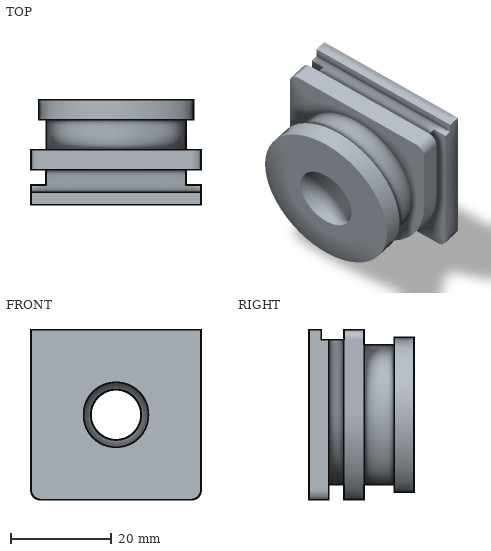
import cadquery as cq

width = 34.0
half_width = width / 2
corner_radius = 2.0

slab_thickness = 4.0
lip_thickness = 2.5
front_neck_length = 3.0
rear_neck_length = 6.0

plate_back = slab_thickness
flange_front = plate_back + front_neck_length
flange_back = flange_front + slab_thickness
cap_front = flange_back + rear_neck_length
cap_back = cap_front + slab_thickness

neck_radius = 14.0
cap_radius = 15.5
mouth_radius = 6.5
throat_radius = 5.0
chamber_radius = mouth_radius

mouth_depth = 4.5
throat_start = 5.27
throat_end = 5.85

ledge_drop = 2.0
ledge_z = half_width - ledge_drop


def plane_at(y):
    """Sketch plane facing -Y at station y, with local x = X and local y = Z."""
    return cq.Workplane("XZ", origin=(0, y, 0))


def arch(half, top, front, back):
    """Flat sides and flat top above a half-round bottom, between two stations."""
    return (
        plane_at(front)
        .moveTo(-half, top)
        .lineTo(-half, 0)
        .threePointArc((0, -half), (half, 0))
        .lineTo(half, top)
        .close()
        .extrude(front - back)
    )


def disc(radius, front, back):
    """Round slab about the bore axis, between two stations."""
    return plane_at(front).circle(radius).extrude(front - back)


def front_plate():
    """Square plate with rounded bottom corners and a ledge behind its top lip."""
    plate = plane_at(0).rect(width, width).extrude(-plate_back)
    plate = plate.edges("|Y and <Z").fillet(corner_radius)
    ledge_cut = (
        plane_at(lip_thickness)
        .center(0, half_width - ledge_drop / 2)
        .rect(width, ledge_drop)
        .extrude(lip_thickness - plate_back)
    )
    return plate.cut(ledge_cut)


def flange():
    """Arch-shaped flange with rounded top corners."""
    body = arch(half_width, half_width, flange_front, flange_back)
    return body.edges("|Y and >Z").fillet(corner_radius)


def bore():
    """Stepped bore: wide mouth, cone, short throat, rear chamber."""
    return (
        cq.Workplane("XY")
        .moveTo(0, 0)
        .lineTo(mouth_radius, 0)
        .lineTo(mouth_radius, mouth_depth)
        .lineTo(throat_radius, throat_start)
        .lineTo(throat_radius, throat_end)
        .lineTo(chamber_radius, throat_end)
        .lineTo(chamber_radius, cap_back)
        .lineTo(0, cap_back)
        .close()
        .revolve(360, (0, 0, 0), (0, 1, 0))
    )


front_neck = arch(neck_radius, ledge_z, plate_back, flange_front)
rear_neck = disc(neck_radius, flange_back, cap_front)
cap = disc(cap_radius, cap_front, cap_back)

result = (
    front_plate()
    .union(front_neck)
    .union(flange())
    .union(rear_neck)
    .union(cap)
    .cut(bore())
)